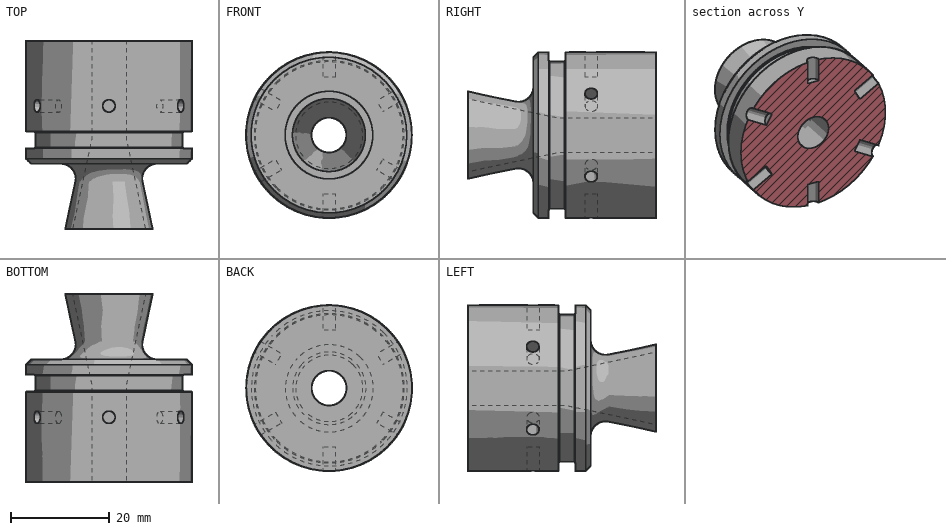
import cadquery as cq
import math

total_length = 38.28
body_radius = 33.8 / 2
body_length = 18.45
body_edge_chamfer = 0.1

groove_radius = 30.0 / 2
groove_width = 3.4
groove_foot_chamfer = 0.23

flange_width = 3.15
flange_chamfer = 1.07

nozzle_tip_radius = 8.92
nozzle_half_angle = math.radians(12)
neck_fillet = 3.0

bore_radius = 3.52
bore_mouth_radius = 7.43

hole_count = 6
hole_diameter = 2.53
hole_depth = 5.0
hole_from_rear = 13.2

groove_end = body_length + groove_width
flange_end = groove_end + flange_width

taper = math.tan(nozzle_half_angle)
flare_length = (bore_mouth_radius - bore_radius) / taper

fillet_center_station = flange_end + neck_fillet
cone_radius_at_center = nozzle_tip_radius - (total_length - fillet_center_station) * taper
fillet_center_radius = cone_radius_at_center + neck_fillet / math.cos(nozzle_half_angle)


def fillet_point(angle):
    """Point on the neck fillet, angle from the inward radial direction toward the tip."""
    radius = fillet_center_radius - neck_fillet * math.cos(angle)
    station = fillet_center_station + neck_fillet * math.sin(angle)
    return (radius, -station)


fillet_start_angle = -math.pi / 2
fillet_mid_angle = (fillet_start_angle + nozzle_half_angle) / 2


def make_turned_body():
    """Revolve the half section, including the flared bore."""
    section = (
        cq.Workplane("XY")
        .moveTo(bore_radius, 0)
        .lineTo(body_radius, 0)
        .lineTo(body_radius, -(body_length - body_edge_chamfer))
        .lineTo(body_radius - body_edge_chamfer, -body_length)
        .lineTo(groove_radius + groove_foot_chamfer, -body_length)
        .lineTo(groove_radius, -(body_length + groove_foot_chamfer))
        .lineTo(groove_radius, -(groove_end - groove_foot_chamfer))
        .lineTo(groove_radius + groove_foot_chamfer, -groove_end)
        .lineTo(body_radius, -groove_end)
        .lineTo(body_radius, -(flange_end - flange_chamfer))
        .lineTo(body_radius - flange_chamfer, -flange_end)
        .lineTo(*fillet_point(fillet_start_angle))
        .threePointArc(fillet_point(fillet_mid_angle), fillet_point(nozzle_half_angle))
        .lineTo(nozzle_tip_radius, -total_length)
        .lineTo(bore_mouth_radius, -total_length)
        .lineTo(bore_radius, -(total_length - flare_length))
        .close()
    )
    return section.revolve(360, (0, 0, 0), (0, 1, 0))


def make_radial_hole(angle):
    """Blind hole drilled from the rim; angle in degrees about Y, from +Z."""
    hole = (
        cq.Workplane("XY", origin=(0, -hole_from_rear, body_radius - hole_depth))
        .circle(hole_diameter / 2)
        .extrude(2 * hole_depth)
    )
    return hole.rotate((0, 0, 0), (0, 1, 0), angle)


result = make_turned_body()
for index in range(hole_count):
    result = result.cut(make_radial_hole(index * 360 / hole_count))